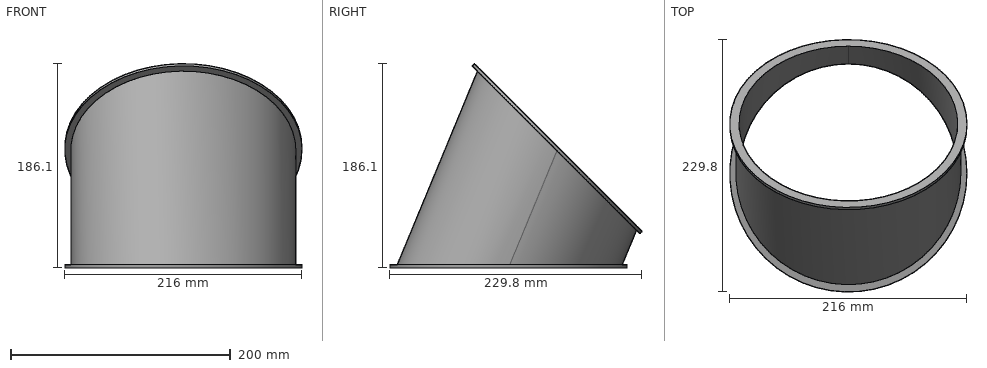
import cadquery as cq
import math

flange_diameter = 216.0
tube_outer_diameter = 205.0
sheet_thickness = 3.0
bend_angle = 45.0
overall_depth = 229.8

tube_inner_diameter = tube_outer_diameter - 2 * sheet_thickness
bend = math.radians(bend_angle)
flange_reach = flange_diameter / 2 * (1 + math.cos(bend))

end_to_bend = (overall_depth - flange_reach) / math.sin(bend)

upper_normal = cq.Vector(0, math.sin(bend), math.cos(bend))
upper_center = cq.Vector(0, 0, end_to_bend) + upper_normal * end_to_bend
base_plane = cq.Plane(origin=(0, 0, 0), xDir=(1, 0, 0), normal=(0, 0, -1))
upper_plane = cq.Plane(origin=upper_center, xDir=(1, 0, 0), normal=upper_normal)


def flange(outer_face):
    """Disc lying just inside its outer face."""
    return cq.Workplane(outer_face).circle(flange_diameter / 2).extrude(-sheet_thickness)


def oblique_cylinder(diameter):
    """Straight skewed cylinder with a circular end on each flange face.

    Its direction halves the bend angle, so both end sections are equal circles.
    """
    base_circle = cq.Wire.makeCircle(diameter / 2, cq.Vector(0, 0, 0), cq.Vector(0, 0, 1))
    upper_circle = cq.Wire.assembleEdges(
        [cq.Edge.makeCircle(diameter / 2, upper_center, upper_normal)]
    )
    return cq.Workplane(cq.Solid.makeLoft([base_circle, upper_circle], True))


body = oblique_cylinder(tube_outer_diameter)
body = body.union(flange(base_plane)).union(flange(upper_plane))
result = body.cut(oblique_cylinder(tube_inner_diameter))